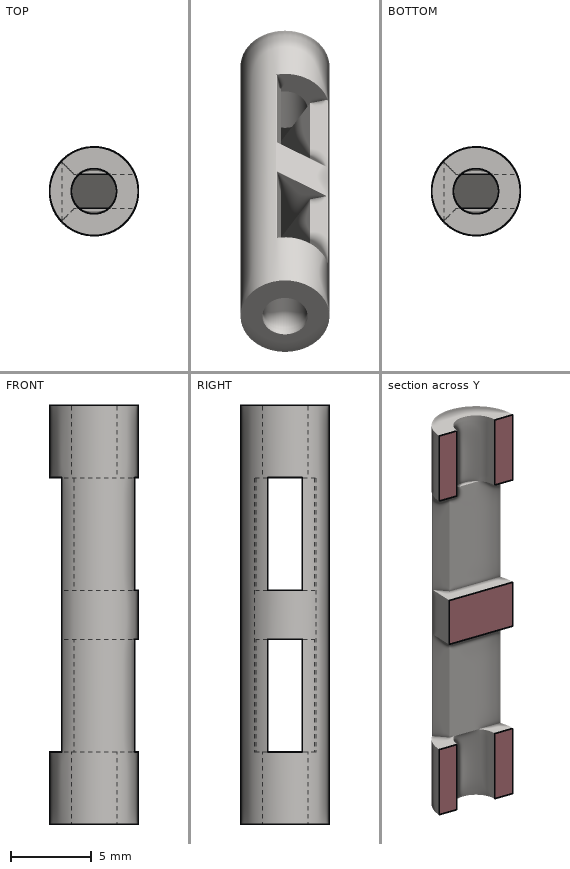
import cadquery as cq
import math

length = 26.0
outer_diameter = 5.5
bore_diameter = 2.8

collar_length = 4.5
flat_distance = 2.0

bridge_height = 3.05
slot_width = 2.13
mouth_margin = 0.08

outer_radius = outer_diameter / 2
flat_length = length - 2 * collar_length
window_height = (flat_length - bridge_height) / 2
mouth_half_width = math.sqrt(outer_radius**2 - flat_distance**2) - mouth_margin
slot_half_width = slot_width / 2
taper_depth = mouth_half_width - slot_half_width


def make_body():
    return cq.Workplane("XY").circle(outer_radius).extrude(length / 2, both=True)


def make_flat_cutter():
    return cq.Workplane("XY").box(
        outer_radius, outer_diameter, flat_length
    ).translate((-flat_distance - outer_radius / 2, 0, 0))


def make_window_cutter(bottom_z):
    """Slot through the body along X, flared at 45 degrees towards the flat."""
    taper_end_x = -flat_distance + taper_depth
    return (
        cq.Workplane("XY")
        .workplane(offset=bottom_z)
        .moveTo(-flat_distance, -mouth_half_width)
        .lineTo(taper_end_x, -slot_half_width)
        .lineTo(outer_radius, -slot_half_width)
        .lineTo(outer_radius, slot_half_width)
        .lineTo(taper_end_x, slot_half_width)
        .lineTo(-flat_distance, mouth_half_width)
        .close()
        .extrude(window_height)
    )


def make_bore_cutter(bottom_z):
    """Bore through one end collar, opening into the nearer window."""
    return (
        cq.Workplane("XY")
        .workplane(offset=bottom_z)
        .circle(bore_diameter / 2)
        .extrude(collar_length)
    )


result = make_body().cut(make_flat_cutter())
for window_bottom in (-flat_length / 2, bridge_height / 2):
    result = result.cut(make_window_cutter(window_bottom))
for bore_bottom in (-length / 2, flat_length / 2):
    result = result.cut(make_bore_cutter(bore_bottom))